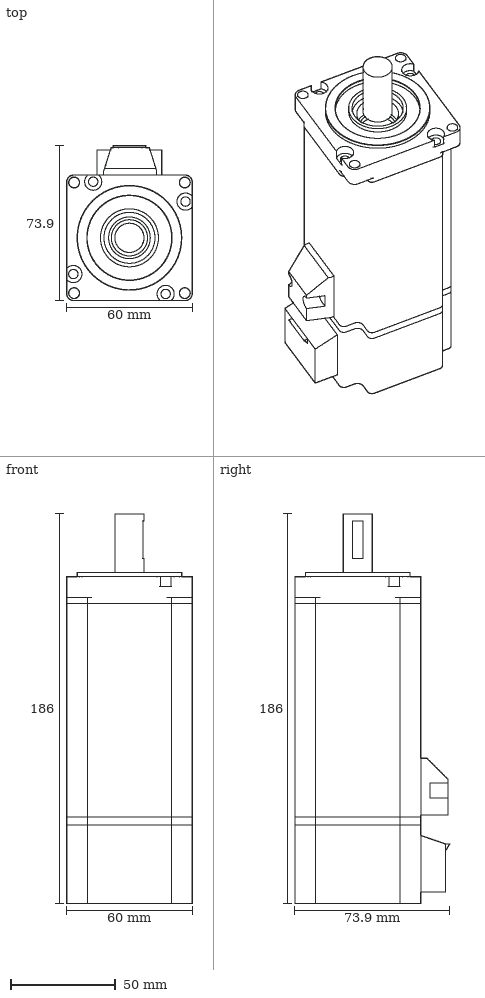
import cadquery as cq

body_width = 60.0
half_width = body_width / 2
rear_cover_top = 37.4
plate_top = 41.3
housing_top = 143.2
flange_corner_bottom = 146.0
flange_top = 156.0
pilot_top = 158.1
shaft_bottom = 155.7
shaft_top = 186.0

notch_wall = 20.0
notch_inner_radius = 3.0
body_edge_radius = 2.5
flange_step_edge_radius = 2.0

flange_corner_radius = 3.5
mount_hole_offset = 26.5
mount_hole_diameter = 5.0
screw_edge_offset = 26.8
screw_side_offset = 17.3
screw_hole_diameter = 4.5
counterbore_diameter = 8.2
counterbore_depth = 4.6

pilot_diameter = 50.0
rim_chamfer = 0.2
recess_outer_diameter = 40.4
recess_inner_diameter = 27.7
recess_depth = 2.2
seal_seat_diameter = 24.4
seal_seat_depth = 3.7
bore_diameter = 19.9
lip_diameter = 17.3

shaft_diameter = 14.0
keyway_width = 5.0
keyway_depth = 3.0
keyway_top_gap = 3.3
keyway_length = 17.9

power_bottom = 42.2
power_height = 27.2
power_base_width = 25.3
power_base_depth = 1.9
power_end_width = 18.2
power_depth = 13.0
power_offset = 0.4
power_slope_size = 10.0
scoop_diameter = 7.0
scoop_height = 11.7
scoop_length = 8.5

signal_bottom = 5.4
signal_width = 31.0
signal_depth = 11.9
signal_outer_height = 23.0
signal_root_height = 27.2
latch_width = 15.6
latch_reach = 2.0
latch_height = 3.2


def block(width, depth, bottom, top):
    return cq.Workplane("XY", origin=(0, 0, bottom)).rect(width, depth).extrude(top - bottom)


def cylinder(diameter, bottom, top):
    return cq.Workplane("XY", origin=(0, 0, bottom)).circle(diameter / 2).extrude(top - bottom)


def is_outer_edge(edge):
    """True for an upright edge near the side faces, False for one at the inside of a notch."""
    center = edge.Center()
    return max(abs(center.x), abs(center.y)) > notch_wall + notch_inner_radius


def is_notch_edge(edge):
    return not is_outer_edge(edge)


def notched_prism(bottom, top, edge_radius):
    """Square prism with a rounded square notch along each upright corner."""
    prism = block(body_width, 2 * notch_wall, bottom, top)
    prism = prism.union(block(2 * notch_wall, body_width, bottom, top))
    prism = prism.edges("|Z").filter(is_outer_edge).fillet(edge_radius)
    return prism.edges("|Z").filter(is_notch_edge).fillet(notch_inner_radius)


def make_pilot():
    """Raised pilot ring with a ring recess and lightly broken rims."""
    recess_floor = pilot_top - recess_depth
    pilot = cylinder(pilot_diameter, recess_floor, pilot_top)
    pilot = pilot.cut(cylinder(recess_outer_diameter, recess_floor, pilot_top))
    pilot = pilot.faces(">Z").chamfer(rim_chamfer)
    return pilot.union(cylinder(recess_inner_diameter, recess_floor, pilot_top))


def make_flange():
    plate = block(body_width, body_width, flange_corner_bottom, flange_top)
    plate = plate.edges("|Z").fillet(flange_corner_radius)
    plate = plate.cut(cylinder(pilot_diameter, pilot_top - recess_depth, flange_top))
    step = notched_prism(housing_top, flange_corner_bottom, flange_step_edge_radius)
    flange = plate.union(step).union(make_pilot())

    flange = flange.cut(cylinder(seal_seat_diameter, pilot_top - seal_seat_depth, pilot_top))
    flange = flange.cut(cylinder(bore_diameter, flange_corner_bottom, pilot_top))
    flange = flange.cut(cylinder(lip_diameter, housing_top, pilot_top))

    for x in (-mount_hole_offset, mount_hole_offset):
        for y in (-mount_hole_offset, mount_hole_offset):
            mount_hole = cylinder(mount_hole_diameter, housing_top, flange_top)
            flange = flange.cut(mount_hole.translate((x, y, 0)))

    screw_hole = cylinder(screw_hole_diameter, housing_top, flange_top)
    screw_hole = screw_hole.union(
        cylinder(counterbore_diameter, flange_top - counterbore_depth, flange_top)
    ).translate((screw_edge_offset, screw_side_offset, 0))
    for quarter in range(4):
        flange = flange.cut(screw_hole.rotate((0, 0, 0), (0, 0, 1), 90 * quarter))
    return flange


def make_shaft():
    shaft = cylinder(shaft_diameter, shaft_bottom, shaft_top)
    keyway_top = shaft_top - keyway_top_gap
    keyway = block(keyway_depth, keyway_width, keyway_top - keyway_length, keyway_top)
    return shaft.cut(keyway.translate(((shaft_diameter - keyway_depth) / 2, 0, 0)))


def make_power_connector():
    outer_y = half_width + power_depth
    shoulder_y = half_width + power_base_depth
    top_z = power_bottom + power_height
    base_x = power_base_width / 2
    end_x = power_end_width / 2

    connector = (
        cq.Workplane("XY", origin=(0, 0, power_bottom))
        .moveTo(-base_x, half_width)
        .lineTo(base_x, half_width)
        .lineTo(base_x, shoulder_y)
        .lineTo(end_x, outer_y)
        .lineTo(-end_x, outer_y)
        .lineTo(-base_x, shoulder_y)
        .close()
        .extrude(power_height)
    )
    slope = (
        cq.Workplane("YZ")
        .moveTo(outer_y, top_z)
        .lineTo(outer_y - power_slope_size, top_z)
        .lineTo(outer_y, top_z - power_slope_size)
        .close()
        .extrude(base_x, both=True)
    )
    connector = connector.cut(slope)

    scoop_z = power_bottom + scoop_height
    for side in (-1, 1):
        round_bottom = (
            cq.Workplane("XZ", origin=(side * end_x, outer_y, scoop_z))
            .circle(scoop_diameter / 2)
            .extrude(scoop_length)
        )
        opening = (
            cq.Workplane("XZ", origin=(side * (end_x + scoop_diameter / 2), outer_y, scoop_z))
            .rect(scoop_diameter, scoop_diameter)
            .extrude(scoop_length)
        )
        connector = connector.cut(round_bottom).cut(opening)
    return connector.translate((power_offset, 0, 0))


def make_signal_connector():
    outer_y = half_width + signal_depth
    outer_top = signal_bottom + signal_outer_height
    body = (
        cq.Workplane("YZ")
        .moveTo(half_width, signal_bottom)
        .lineTo(outer_y, signal_bottom)
        .lineTo(outer_y, outer_top)
        .lineTo(half_width, signal_bottom + signal_root_height)
        .close()
        .extrude(signal_width / 2, both=True)
    )
    latch = (
        cq.Workplane("YZ")
        .moveTo(outer_y, outer_top)
        .lineTo(outer_y + latch_reach, outer_top)
        .lineTo(outer_y, outer_top - latch_height)
        .close()
        .extrude(latch_width / 2, both=True)
    )
    return body.union(latch)


flange = make_flange()
housing = notched_prism(plate_top, housing_top, body_edge_radius)
plate = notched_prism(rear_cover_top, plate_top, body_edge_radius)
rear_cover = notched_prism(0, rear_cover_top, body_edge_radius)
shaft = make_shaft()
power_connector = make_power_connector()
signal_connector = make_signal_connector()

result = cq.Compound.makeCompound(
    [
        flange.val(),
        housing.val(),
        plate.val(),
        rear_cover.val(),
        shaft.val(),
        power_connector.val(),
        signal_connector.val(),
    ]
)